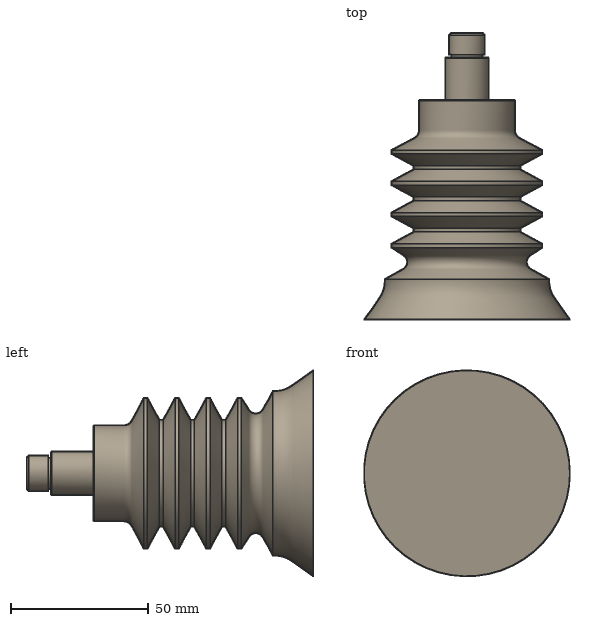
import cadquery as cq
import math


lip_radius = 75.0 / 2
shoulder_radius = 60.0 / 2
shoulder_top = 14.7
flare_top = 14.0
flare_arc_radius = 10.6
flare_angle = math.radians(35.5)

waist_radius = 21.8
waist_center = 21.0
waist_arc_radius = 2.9

ridge_radius = 55.0 / 2
valley_radius = 39.0 / 2
ridge_count = 4
pitch = 11.4
first_ridge = 26.9
band_width = 1.4
cone_turn = math.radians(61.5)

collar_radius = 35.0 / 2
collar_bottom = 68.8
collar_arc_radius = 3.1
collar_top = 80.0
collar_chamfer = 0.3

stud_radius = 16.0 / 2
stud_top = 95.5
stud_chamfer = 0.4
neck_radius = 11.5 / 2
neck_top = 96.4
tip_radius = 13.1 / 2
tip_top = 104.3
tip_chamfer = 0.8


def arc_point(root_radius, start, arc_radius, turn):
    """Point on a concave arc that leaves the axial direction at `start` and turns outward.

    A negative turn runs the arc toward -Y, a positive one toward +Y.
    """
    return (
        root_radius + arc_radius * (1 - math.cos(turn)),
        start + arc_radius * math.sin(turn),
    )


def add_lip(profile):
    def flare_point(turn):
        return arc_point(shoulder_radius, flare_top, flare_arc_radius, turn)

    return (
        profile.lineTo(lip_radius, 0)
        .lineTo(*flare_point(-flare_angle))
        .threePointArc(flare_point(-flare_angle / 2), (shoulder_radius, flare_top))
        .lineTo(shoulder_radius, shoulder_top)
    )


def add_waist(profile):
    def waist_point(turn):
        return arc_point(waist_radius, waist_center, waist_arc_radius, turn)

    return profile.lineTo(*waist_point(-cone_turn)).threePointArc(
        (waist_radius, waist_center), waist_point(cone_turn)
    )


def add_band(profile, radius, center):
    """Short cylindrical band centred at the given height."""
    return profile.lineTo(radius, center - band_width / 2).lineTo(radius, center + band_width / 2)


def add_bellows(profile):
    for index in range(ridge_count):
        ridge = first_ridge + index * pitch
        if index > 0:
            profile = add_band(profile, valley_radius, ridge - pitch / 2)
        profile = add_band(profile, ridge_radius, ridge)
    return profile


def add_collar(profile):
    def root_point(turn):
        return arc_point(collar_radius, collar_bottom, collar_arc_radius, turn)

    return (
        profile.lineTo(*root_point(-cone_turn))
        .threePointArc(root_point(-cone_turn / 2), (collar_radius, collar_bottom))
        .lineTo(collar_radius, collar_top - collar_chamfer)
        .lineTo(collar_radius - collar_chamfer, collar_top)
    )


def add_stud(profile):
    return (
        profile.lineTo(stud_radius, collar_top)
        .lineTo(stud_radius, stud_top - stud_chamfer)
        .lineTo(stud_radius - stud_chamfer, stud_top)
        .lineTo(neck_radius, stud_top)
        .lineTo(neck_radius, neck_top)
        .lineTo(tip_radius, neck_top)
        .lineTo(tip_radius, tip_top - tip_chamfer)
        .lineTo(tip_radius - tip_chamfer, tip_top)
        .lineTo(0, tip_top)
    )


half_profile = cq.Workplane("XY").moveTo(0, 0)
for add_section in (add_lip, add_waist, add_bellows, add_collar, add_stud):
    half_profile = add_section(half_profile)

result = half_profile.close().revolve(360, (0, 0, 0), (0, 1, 0))